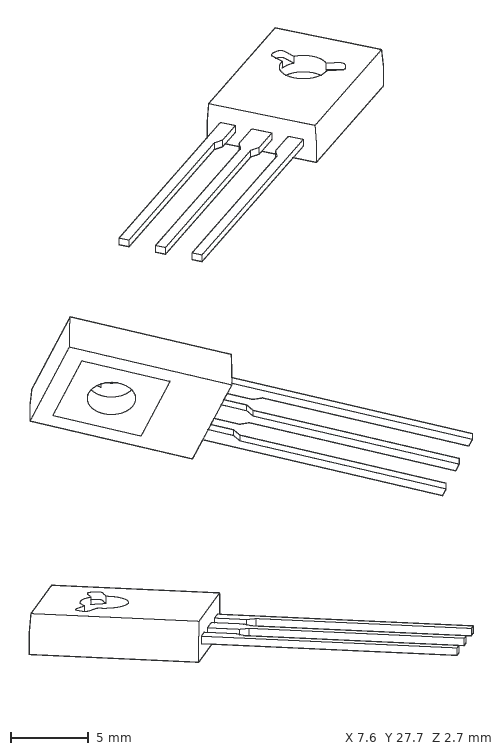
import cadquery as cq

housing_width = 7.6
housing_length = 11.05
housing_height = 2.7
parting_height = 1.5
draft_inset = 0.09

hole_diameter = 3.1
hole_from_far_end = 4.2
notch_width = 1.0
notch_depth = 0.5
notch_reach = 2.7
notch_corner_radius = 0.35
notch_angle = 25.0

insert_width = 5.6
insert_length = 6.0
insert_height = parting_height

overall_length = 27.73
lead_pitch = 2.54
lead_thickness = 0.5
lead_width = 0.7
shoulder_width = 1.4
shoulder_length = 2.1
shoulder_taper_length = 0.55

lead_length = overall_length - housing_length
lead_bottom = parting_height - lead_thickness
hole_y = housing_length - hole_from_far_end


def make_housing():
    half_width = housing_width / 2
    profile = [
        (-half_width, 0),
        (half_width, 0),
        (half_width, parting_height),
        (half_width - draft_inset, housing_height),
        (draft_inset - half_width, housing_height),
        (-half_width, parting_height),
    ]
    body = cq.Workplane("XZ").polyline(profile).close().extrude(-housing_length)

    far_end_draft = (
        cq.Workplane("YZ")
        .polyline(
            [
                (housing_length, parting_height),
                (housing_length, housing_height),
                (housing_length - draft_inset, housing_height),
            ]
        )
        .close()
        .extrude(half_width, both=True)
    )
    return body.cut(far_end_draft)


def make_hole():
    return cq.Workplane("XY").center(0, hole_y).circle(hole_diameter / 2).extrude(housing_height)


def make_notch(angle):
    """A slot running from the hole centre out to a tip with rounded corners."""
    floor = housing_height - notch_depth
    slot = (
        cq.Workplane("XY", origin=(notch_reach / 2, 0, floor))
        .rect(notch_reach, notch_width)
        .extrude(notch_depth)
        .edges("|Z and >X")
        .fillet(notch_corner_radius)
    )
    return slot.rotate((0, 0, 0), (0, 0, 1), angle).translate((0, hole_y, 0))


def make_insert():
    return (
        cq.Workplane("XY")
        .center(0, hole_y)
        .rect(insert_width, insert_length)
        .circle(hole_diameter / 2)
        .extrude(insert_height)
    )


def make_lead(x, left_shoulder, right_shoulder):
    """A flat lead at x whose root is wider by the given amount on each side."""
    left = x - lead_width / 2
    right = x + lead_width / 2
    taper_start = -shoulder_length
    taper_end = taper_start - shoulder_taper_length
    outline = [
        (left - left_shoulder, 0),
        (left - left_shoulder, taper_start),
        (left, taper_end),
        (left, -lead_length),
        (right, -lead_length),
        (right, taper_end),
        (right + right_shoulder, taper_start),
        (right + right_shoulder, 0),
    ]
    return cq.Workplane("XY", origin=(0, 0, lead_bottom)).polyline(outline).close().extrude(lead_thickness)


shoulder = (shoulder_width - lead_width) / 2
leads = [
    make_lead(-lead_pitch, 0, shoulder),
    make_lead(0, shoulder, shoulder),
    make_lead(lead_pitch, shoulder, 0),
]
insert = make_insert()
housing = make_housing().cut(make_hole()).cut(insert)
for angle in (notch_angle, 180 - notch_angle):
    housing = housing.cut(make_notch(angle))

result = cq.Compound.makeCompound([housing.val(), insert.val(), *[lead.val() for lead in leads]])